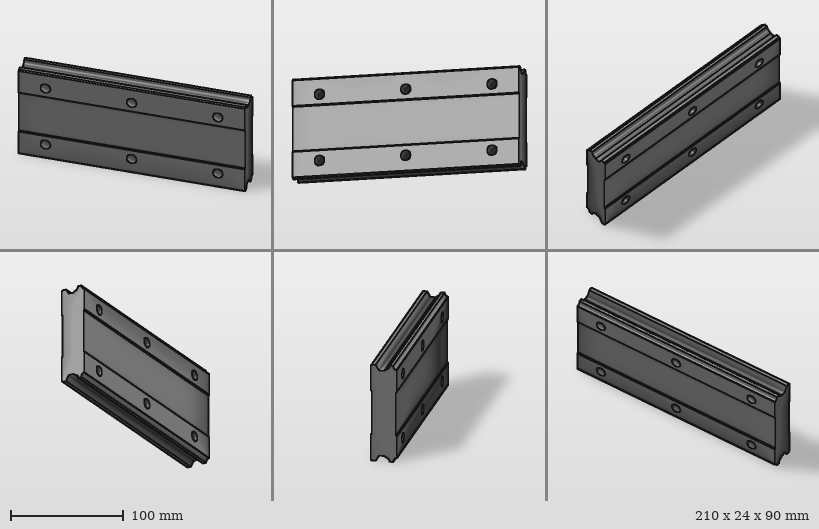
import cadquery as cq

length = 210.0
thickness = 24.0
height = 90.0
half_thickness = thickness / 2
half_height = height / 2

recess_depth = 0.8
recess_floor_half_height = 20.0
recess_wall_rise = 1.0

front_bevel_width = 1.0
front_bevel_drop = 1.3
back_land_width = 0.6

rib_back_y = 8.6
rib_front_y = 5.2
race_end_y = 2.3
race_drop = 3.8
race_radius = 4.0
groove_depth = 5.0
groove_floor_back_y = 0.5
groove_floor_front_y = -4.5
groove_front_y = -7.4
groove_corner_radius = 0.5

hole_diameter = 9.0
hole_spacing_x = 80.0
hole_spacing_z = 60.0
holes_per_row = 3
hole_rows = 2


def half_plate():
    """Upper half of the plate, extruded along X from its Y-Z section."""
    recess_y = half_thickness - recess_depth
    recess_top = recess_floor_half_height + recess_wall_rise
    top = half_height
    section = (
        cq.Workplane("YZ")
        .moveTo(recess_y, 0)
        .lineTo(recess_y, recess_floor_half_height)
        .lineTo(half_thickness, recess_top)
        .lineTo(half_thickness, top - race_drop)
        .lineTo(half_thickness - back_land_width, top - race_drop)
        .radiusArc((rib_back_y, top), race_radius)
        .lineTo(rib_front_y, top)
        .radiusArc((race_end_y, top - race_drop), race_radius)
        .lineTo(groove_floor_back_y, top - groove_depth)
        .lineTo(groove_floor_front_y, top - groove_depth)
        .lineTo(groove_front_y, top)
        .lineTo(-half_thickness + front_bevel_width, top)
        .lineTo(-half_thickness, top - front_bevel_drop)
        .lineTo(-half_thickness, recess_top)
        .lineTo(-recess_y, recess_floor_half_height)
        .lineTo(-recess_y, 0)
        .close()
    )
    half = section.extrude(length / 2, both=True)
    floor_front_corner = cq.NearestToPointSelector((0, groove_floor_front_y, top - groove_depth))
    return half.edges("|X").edges(floor_front_corner).fillet(groove_corner_radius)


def mounting_holes():
    """Cylinders through the full thickness on a rectangular grid."""
    return (
        cq.Workplane("XZ")
        .rarray(hole_spacing_x, hole_spacing_z, holes_per_row, hole_rows)
        .circle(hole_diameter / 2)
        .extrude(thickness, both=True)
    )


upper_half = half_plate()
plate = upper_half.union(upper_half.mirror("XY")).clean()
result = plate.cut(mounting_holes())